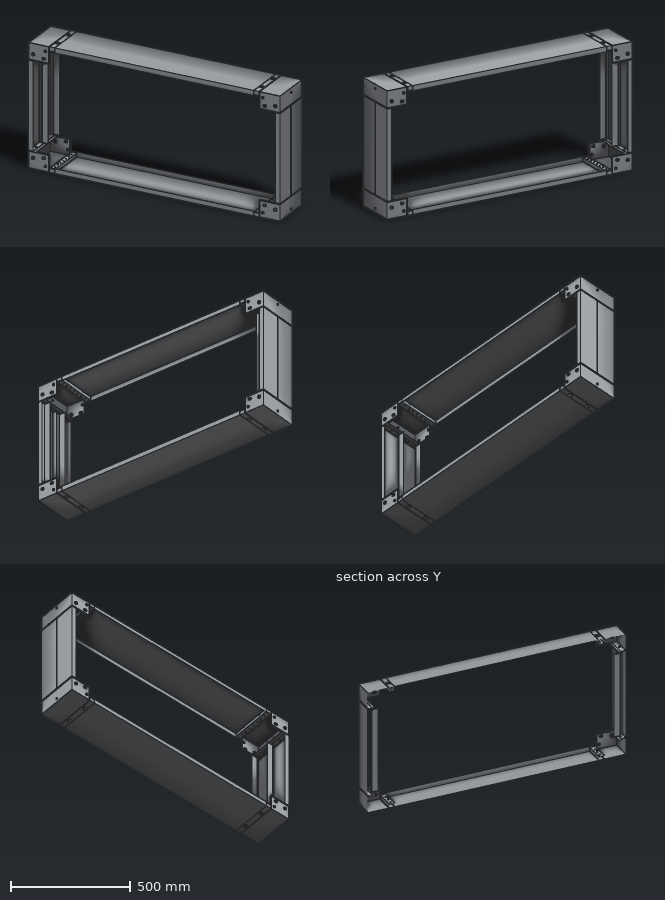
import cadquery as cq

length = 1200.0
depth = 200.0
height = 577.0

bracket_sheet = 3.0
panel_sheet = 1.5
panel_bend = 3.0
panel_gap = 1.0

bracket_length = 100.0
bracket_height = 80.0
side_lip = 10.0
end_lip = 36.0
round_hole = dict(x=24.0, z=52.0, diameter=15.0)
small_hole = dict(x=83.0, z=25.0, diameter=11.0)
slot = dict(x=75.0, z=61.0, length=15.0, width=11.0)
end_hole_z = 22.0
end_hole_diameter = 8.0

panel_flange = 24.0
rail_width = 26.0
rail_height = 20.0
rail_hole_offset = 15.0
rail_hole_diameter = 5.0
rail_hole_places = (-73.0, -25.0, 0.0, 25.0, 73.0)
fixing_place = 49.0
access_hole_diameter = 18.0
collar_diameter = 6.0
collar_bore = 4.0
collar_top = 31.0

side_sheet = 2.0
side_flange = 24.0
rear_flange = 53.0
rear_offset = 19.0
rear_flange_inset = 11.0
tab_hole_x = 12.0
tab_hole_diameter = 7.0

half_depth = depth / 2


def box(x0, x1, y0, y1, z0, z1):
    """Box between two opposite corners."""
    return cq.Workplane("XY").box(x1 - x0, y1 - y0, z1 - z0, centered=False).translate((x0, y0, z0))


def upright_cylinders(points, diameter, z0, z1):
    """Vertical cylinders at the given (x, y) points."""
    return cq.Workplane("XY").workplane(offset=z0).pushPoints(points).circle(diameter / 2).extrude(z1 - z0)


def mirror_x(body):
    return body.mirror("YZ", (length / 2, 0, 0))


def mirror_z(body):
    return body.mirror("XY", (0, 0, height / 2))


def make_bracket():
    """Lower bracket at the X = 0 end."""
    body = box(0, bracket_length, -half_depth, half_depth, 0, bracket_height)
    y1 = half_depth - bracket_sheet
    lip_y = half_depth - side_lip
    lip_x = bracket_length - bracket_sheet
    lip_z = bracket_height - bracket_sheet
    body = body.cut(box(bracket_sheet, lip_x, -y1, y1, bracket_sheet, lip_z))
    body = body.cut(box(end_lip, bracket_length, -lip_y, lip_y, bracket_sheet, bracket_height))
    drill = cq.Workplane("XZ", origin=(0, half_depth, 0))
    for hole in (round_hole, small_hole):
        body = body.cut(drill.center(hole["x"], hole["z"]).circle(hole["diameter"] / 2).extrude(depth))
    body = body.cut(drill.center(slot["x"], slot["z"]).slot2D(slot["length"], slot["width"]).extrude(depth))
    end_drill = cq.Workplane("YZ").center(0, end_hole_z).circle(end_hole_diameter / 2)
    body = body.cut(end_drill.extrude(bracket_sheet))
    tab_holes = [(tab_hole_x, -half_depth / 2), (tab_hole_x, half_depth / 2)]
    return body.cut(upright_cylinders(tab_holes, tab_hole_diameter, lip_z, bracket_height))


def make_rail(x0):
    """Hollow rail on the tray floor at the X = 0 end."""
    y1 = half_depth - panel_sheet
    outer = box(x0, x0 + rail_width, -y1, y1, 0, rail_height)
    inner = box(
        x0 + panel_sheet, x0 + rail_width - panel_sheet, -y1, y1, panel_sheet, rail_height - panel_sheet
    )
    return outer.cut(inner)


def make_long_panel():
    """Lower panel between the two lower brackets."""
    x0 = bracket_length + panel_gap
    x1 = length - x0
    body = box(x0, x1, -half_depth, half_depth, 0, panel_flange)
    y1 = half_depth - panel_sheet
    cavity = box(x0, x1, -y1, y1, panel_sheet, panel_flange)
    body = body.cut(cavity.edges("|X and <Z").fillet(panel_bend))
    rail = make_rail(x0)
    body = body.union(rail).union(mirror_x(rail))

    rail_x = x0 + rail_hole_offset
    rail_xs = (rail_x, length - rail_x)
    fixings = [(x, y) for x in rail_xs for y in (-fixing_place, fixing_place)]
    small_holes = [(x, y) for x in rail_xs for y in rail_hole_places]
    lip_underside = rail_height - panel_sheet
    body = body.union(upright_cylinders(fixings, collar_diameter, lip_underside, collar_top))
    body = body.cut(upright_cylinders(fixings, collar_bore, lip_underside, collar_top))
    body = body.cut(upright_cylinders(fixings, access_hole_diameter, 0, panel_sheet))
    return body.cut(upright_cylinders(small_holes, rail_hole_diameter, lip_underside, rail_height))


def make_side_panel(y0):
    """Side panel half at the X = 0 end whose front edge is at y0."""
    y1 = y0 + half_depth
    z0 = bracket_height
    z1 = height - bracket_height
    body = box(0, side_flange, y0, y1, z0, z1)
    body = body.cut(
        box(side_sheet, side_flange, y0 + side_sheet, y1 - side_sheet, z0 + side_sheet, z1 - side_sheet)
    )
    flange_y = y1 - rear_offset
    step_x = side_flange - side_sheet
    flange_z0 = z0 + rear_flange_inset
    flange_z1 = z1 - rear_flange_inset
    body = body.union(box(step_x, side_flange, flange_y, y1, flange_z0, flange_z1))
    body = body.union(box(step_x, rear_flange, flange_y, flange_y + side_sheet, flange_z0, flange_z1))
    tab_hole = [(tab_hole_x, (y0 + y1) / 2)]
    return body.cut(upright_cylinders(tab_hole, tab_hole_diameter, z0, z1))


lower_bracket = make_bracket()
brackets = []
for bracket in (lower_bracket, mirror_z(lower_bracket)):
    brackets += [bracket.val(), mirror_x(bracket).val()]

lower_panel = make_long_panel()
long_panels = [lower_panel.val(), mirror_z(lower_panel).val()]

side_panels = []
for front_edge in (-half_depth, 0):
    side_panel = make_side_panel(front_edge)
    side_panels += [side_panel.val(), mirror_x(side_panel).val()]

result = cq.Compound.makeCompound([*brackets, *long_panels, *side_panels])